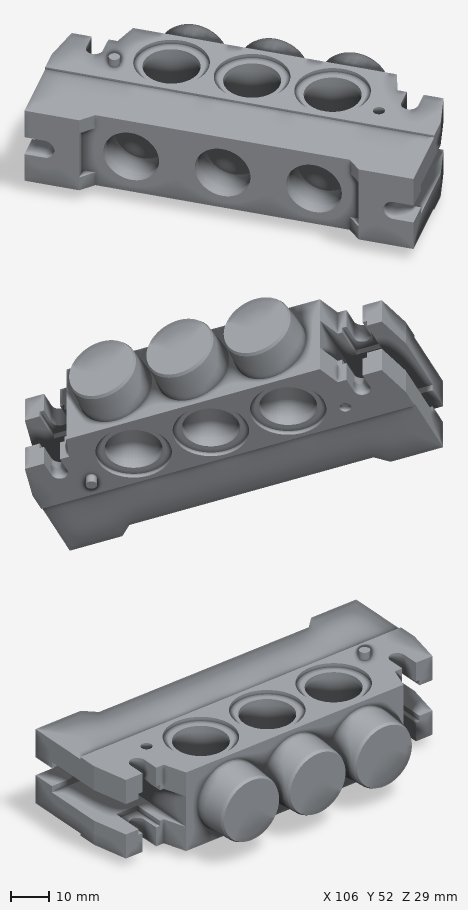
import cadquery as cq

LENGTH = 106.0
EAR_TIP_HALF = 50.7
EAR_TAPER_Y = 24.9
EAR_Y = 35.5
SHOULDER_BASE_HALF = 38.2
SHOULDER_TOP_HALF = 35.9
REAR_Y = 42.2
DEPTH = 52.0
RECESS_HALF = 34.7
RECESS_MOUTH_HALF = 38.1
RECESS_Y = 3.4

HEIGHT = 24.1
FRONT_HEIGHT = 22.7
STEP_Y = 19.1
PIN_TO_PIN = 29.0

CORNER_POCKET_HEIGHT = 14.3
CORNER_POCKET_RADIUS = 1.2

BORE_DIA = 15.2
SEAL_DIA = 20.0
SEAL_DEPTH = 1.3
BORE_PITCH = 21.9
BORE_Y = 30.4
FRONT_BORE_PITCH = 24.9
FRONT_BORE_DEPTH = 10.0

PORT_BASE_DIA = 20.5
PORT_TIP_DIA = 19.1
PORT_EDGE = 0.8
PORT_EDGE_INSET = 0.4

PIN_DIA = 3.0
PIN_HOLE_DIA = 3.2
PIN_X = 36.0
PIN_Y = 25.4
PIN_HOLE_DEPTH = 2.5

EAR_SLOT_X = 42.9
EAR_SLOT_WIDTH = 4.6
EAR_SLOT_DEPTH = 7.3
EAR_POCKET_WIDTH = 7.0
EAR_POCKET_DEPTH = 9.6
EAR_POCKET_SINK = 1.6
END_SLOT_WIDTH = 5.5
END_SLOT_DEPTH = 8.2
END_GROOVE_HEIGHT = 9.3
END_GROOVE_START_Y = 7.0

SIDES = (-1, 1)
COLUMNS = (-1, 0, 1)


def box(x_range, y_range, height):
    """Block between two X and two Y positions, centred on Z = 0."""
    x_min, x_max = sorted(x_range)
    y_min, y_max = y_range
    block = cq.Workplane("XY").box(x_max - x_min, y_max - y_min, height, centered=(False, False, True))
    return block.translate((x_min, y_min, 0))


def upright(diameter, x, y, z_start, z_end):
    """Vertical cylinder."""
    return cq.Workplane("XY", origin=(x, y, z_start)).circle(diameter / 2).extrude(z_end - z_start)


def body():
    right_half = [
        (RECESS_HALF, RECESS_Y),
        (RECESS_MOUTH_HALF, 0),
        (LENGTH / 2, 0),
        (LENGTH / 2, EAR_TAPER_Y),
        (EAR_TIP_HALF, EAR_Y),
        (SHOULDER_BASE_HALF, EAR_Y),
        (SHOULDER_TOP_HALF, REAR_Y),
    ]
    left_half = [(-x, y) for x, y in reversed(right_half)]
    block = cq.Workplane("XY").polyline(right_half + left_half).close().extrude(HEIGHT / 2, both=True)
    front_slab = box((-LENGTH / 2, LENGTH / 2), (0, STEP_Y), FRONT_HEIGHT)
    rear_slab = box((-LENGTH / 2, LENGTH / 2), (STEP_Y, REAR_Y), HEIGHT)
    return block.intersect(front_slab.union(rear_slab))


def corner_pocket(side):
    """Square pocket with one rounded inner corner, level with the recess floor."""
    pocket = box((side * RECESS_HALF, side * RECESS_MOUTH_HALF), (0, RECESS_Y), CORNER_POCKET_HEIGHT)
    outer_edge = ">X and >Y" if side > 0 else "<X and >Y"
    return pocket.edges("|Z").edges(outer_edge).fillet(CORNER_POCKET_RADIUS)


def ear_slot(side):
    """Round-ended slot through an ear, widened to a square pocket on the inner faces of its plates."""
    x = side * EAR_SLOT_X
    radius = EAR_SLOT_WIDTH / 2
    centre_y = EAR_Y - EAR_SLOT_DEPTH + radius
    straight = box((x - radius, x + radius), (centre_y, REAR_Y), HEIGHT)
    round_end = upright(EAR_SLOT_WIDTH, x, centre_y, -HEIGHT / 2, HEIGHT / 2)
    pocket = box(
        (x - EAR_POCKET_WIDTH / 2, x + EAR_POCKET_WIDTH / 2),
        (EAR_Y - EAR_POCKET_DEPTH, EAR_Y),
        END_GROOVE_HEIGHT + 2 * EAR_POCKET_SINK,
    )
    return straight.union(round_end).union(pocket)


def end_slot(side):
    """Round-ended slot through the front of an end, opening into a wide groove."""
    radius = END_SLOT_WIDTH / 2
    outer_x = side * LENGTH / 2
    centre_x = side * (LENGTH / 2 - END_SLOT_DEPTH + radius)
    straight = box((centre_x, outer_x), (0, END_GROOVE_START_Y), END_SLOT_WIDTH)
    round_end = (
        cq.Workplane("XZ", origin=(centre_x, 0, 0)).circle(radius).extrude(-END_GROOVE_START_Y)
    )
    groove = box((side * SHOULDER_TOP_HALF, outer_x), (END_GROOVE_START_Y, REAR_Y), END_GROOVE_HEIGHT)
    return straight.union(round_end).union(groove)


def main_bore(x):
    """Vertical through bore with a shallow seal seat on both faces."""
    top = HEIGHT / 2
    bore = upright(BORE_DIA, x, BORE_Y, -top, top)
    upper_seat = upright(SEAL_DIA, x, BORE_Y, top - SEAL_DEPTH, top)
    lower_seat = upright(SEAL_DIA, x, BORE_Y, -top, -top + SEAL_DEPTH)
    return bore.union(upper_seat).union(lower_seat)


def front_bore(x):
    """Blind bore from the floor of the front recess."""
    return cq.Workplane("XZ", origin=(x, RECESS_Y, 0)).circle(BORE_DIA / 2).extrude(-FRONT_BORE_DEPTH)


def port(x):
    """Tapered round port with a bevelled tip."""
    profile = [
        (0, REAR_Y),
        (PORT_BASE_DIA / 2, REAR_Y),
        (PORT_TIP_DIA / 2, DEPTH - PORT_EDGE),
        (PORT_TIP_DIA / 2 - PORT_EDGE_INSET, DEPTH),
        (0, DEPTH),
    ]
    return cq.Workplane("XY").polyline(profile).close().revolve(360, (0, 0), (0, 1)).translate((x, 0, 0))


result = body()

for side in SIDES:
    result = result.cut(corner_pocket(side)).cut(ear_slot(side)).cut(end_slot(side))

for column in COLUMNS:
    result = result.union(port(column * BORE_PITCH))
    result = result.cut(main_bore(column * BORE_PITCH))
    result = result.cut(front_bore(column * FRONT_BORE_PITCH))

for side in SIDES:
    x = side * PIN_X
    face_z = -side * HEIGHT / 2
    pin_z = -side * PIN_TO_PIN / 2
    hole_end_z = side * (HEIGHT / 2 - PIN_HOLE_DEPTH)
    result = result.union(upright(PIN_DIA, x, PIN_Y, face_z, pin_z))
    result = result.cut(upright(PIN_HOLE_DIA, x, PIN_Y, -face_z, hole_end_z))